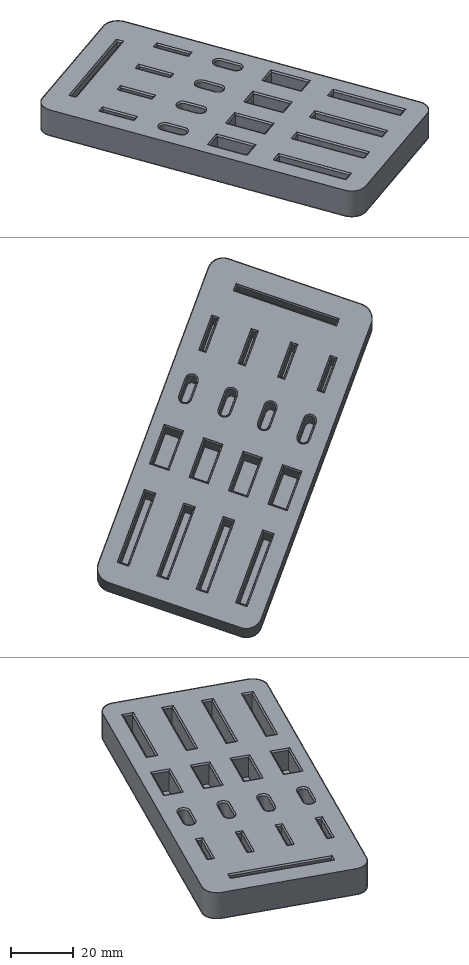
import cadquery as cq

plate_length = 114.3
plate_depth = 55.1
plate_height = 10.0
corner_radius = 5.0

pocket_depth = 8.0
mouth_chamfer = 0.5

row_count = 4
row_span = 40.0
row_pitch = row_span / (row_count - 1)

short_slot_x = -31.5
short_slot_length = 12.3
short_slot_width = 2.4

oval_x = -12.1
oval_length = 10.3
oval_width = 4.2

socket_x = 8.6
socket_length = 14.0
socket_width = 6.5

long_slot_x = 37.0
long_slot_length = 25.7
long_slot_width = 3.9

side_slot_x = -48.9
side_slot_length = 34.9
side_slot_width = 2.5


def rectangle(size_x, size_y):
    return cq.Workplane("XY").rect(size_x, size_y)


def oval(size_x, size_y):
    return cq.Workplane("XY").slot2D(size_x, size_y)


def pocket(outline, size_x, size_y):
    """Cutter for a straight pocket with a 45 degree chamfered mouth; its top lies at Z = 0."""
    inner_x = size_x - 2 * mouth_chamfer
    inner_y = size_y - 2 * mouth_chamfer
    well = outline(inner_x, inner_y).extrude(-pocket_depth)
    mouth = outline(size_x, size_y).extrude(-mouth_chamfer, taper=45)
    return well.union(mouth)


def cut_at(body, cutter, x, y):
    return body.cut(cutter.translate((x, y, plate_height)))


def cut_column(body, cutter, x):
    """Cut the same pocket once in every row."""
    for row in range(row_count):
        body = cut_at(body, cutter, x, row * row_pitch - row_span / 2)
    return body


result = (
    cq.Workplane("XY")
    .box(plate_length, plate_depth, plate_height, centered=(True, True, False))
    .edges("|Z")
    .fillet(corner_radius)
)

result = cut_at(result, pocket(rectangle, side_slot_width, side_slot_length), side_slot_x, 0)
result = cut_column(result, pocket(rectangle, short_slot_length, short_slot_width), short_slot_x)
result = cut_column(result, pocket(oval, oval_length, oval_width), oval_x)
result = cut_column(result, pocket(rectangle, socket_length, socket_width), socket_x)
result = cut_column(result, pocket(rectangle, long_slot_length, long_slot_width), long_slot_x)